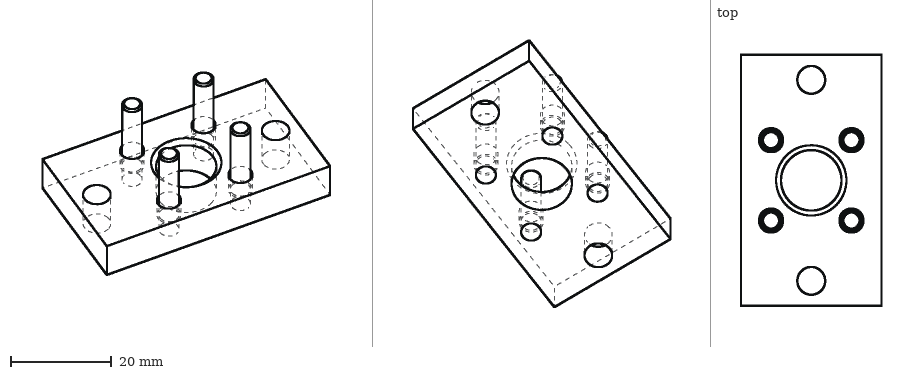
import cadquery as cq

PLATE_WIDTH = 28.0
PLATE_LENGTH = 50.0
PLATE_THICKNESS = 8.0

BORE_DIAMETER = 12.0
BORE_CHAMFER = 1.0

MOUNT_HOLE_DIAMETER = 5.5
MOUNT_HOLE_SPACING = 40.0

PIN_DIAMETER = 4.0
PIN_SPACING = 16.0
PIN_CHAMFER = 0.4
OVERALL_HEIGHT = 21.0

RECESS_DIAMETER = 4.8
RECESS_DEPTH = PLATE_THICKNESS / 2

PIN_OFFSET = PIN_SPACING / 2
PIN_CENTERS = [(x, y) for x in (-PIN_OFFSET, PIN_OFFSET) for y in (-PIN_OFFSET, PIN_OFFSET)]
MOUNT_HOLE_CENTERS = [(0, -MOUNT_HOLE_SPACING / 2), (0, MOUNT_HOLE_SPACING / 2)]


def cut_bore(plate):
    """Cut the central through bore and chamfer its upper edge."""
    bored = plate.faces(">Z").workplane(origin=(0, 0, 0)).hole(BORE_DIAMETER)
    return bored.faces(">Z").edges("%CIRCLE").chamfer(BORE_CHAMFER)


def cut_mount_holes(plate):
    """Cut the two plain through holes for mounting the plate."""
    top = plate.faces(">Z").workplane(origin=(0, 0, 0))
    return top.pushPoints(MOUNT_HOLE_CENTERS).hole(MOUNT_HOLE_DIAMETER)


def cut_pin_seats(plate):
    """Cut a pin-sized through hole with a wider clearance recess above it at each pin."""
    top = plate.faces(">Z").workplane(origin=(0, 0, 0))
    return top.pushPoints(PIN_CENTERS).cboreHole(PIN_DIAMETER, RECESS_DIAMETER, RECESS_DEPTH)


def make_plate():
    """Rectangular plate resting on Z = 0 with all of its holes."""
    plate = cq.Workplane("XY").box(
        PLATE_WIDTH, PLATE_LENGTH, PLATE_THICKNESS, centered=(True, True, False)
    )
    plate = cut_bore(plate)
    plate = cut_mount_holes(plate)
    return cut_pin_seats(plate)


def make_pin(center):
    """Round pin from the underside of the plate to the full height, with a chamfered tip."""
    pin = cq.Workplane("XY").center(*center).circle(PIN_DIAMETER / 2).extrude(OVERALL_HEIGHT)
    return pin.faces(">Z").chamfer(PIN_CHAMFER)


plate = make_plate()
pins = [make_pin(center) for center in PIN_CENTERS]

result = cq.Compound.makeCompound([plate.val(), *[pin.val() for pin in pins]])